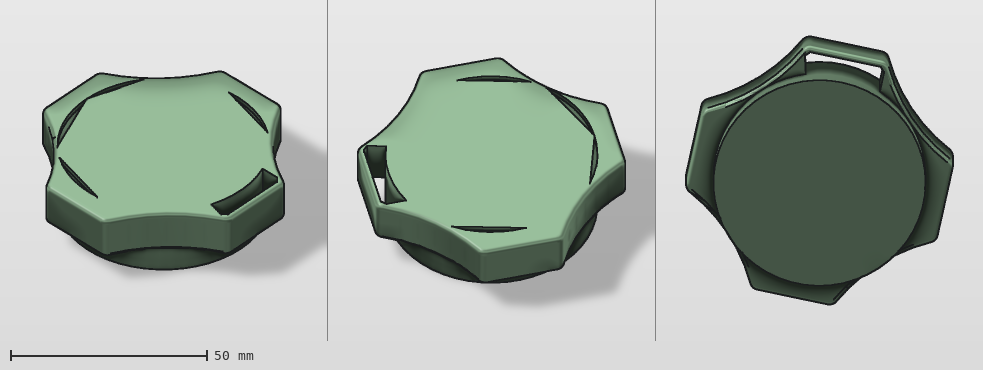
import cadquery as cq
import math

width = 65.6
total_height = 19.1
head_height = 11.8
boss_height = total_height - head_height
boss_radius = 27.0

hollow_radius = 45.9
hollow_depth_radius = 27.95

corner_radius = 2.4
top_edge_radius = 1.45
bottom_edge_radius = 1.0

wall_thickness = 1.5
opening_inner_x = 24.25
opening_lower_inner_y = -8.8
opening_corner_x = 30.0
opening_corner_y = 10.35
opening_wall_y = 9.2

crescent_spans = [(54.2, 95.4), (144.2, 180.0), (180.0, 225.0), (234.5, 275.0)]
crescent_depth = 1.3


def make_head():
    """Square block with a round hollow at each corner, leaving four rounded lobes."""
    head = cq.Workplane("XY").workplane(offset=boss_height).rect(width, width).extrude(head_height)
    hollow_spacing = math.sqrt(2) * (hollow_depth_radius + hollow_radius)
    hollows = (
        cq.Workplane("XY").workplane(offset=boss_height)
        .rect(hollow_spacing, hollow_spacing, forConstruction=True)
        .vertices()
        .circle(hollow_radius)
        .extrude(head_height)
    )
    head = head.cut(hollows).edges("|Z").fillet(corner_radius)
    head = head.faces(">Z").edges().fillet(top_edge_radius)
    return head.faces("<Z").edges().fillet(bottom_edge_radius)


def make_opening():
    """Space inside the wall of the +X lobe: slanted outer corners, with the boss as inner side."""
    wall_x = width / 2 - wall_thickness
    boundary = [
        (opening_inner_x, opening_corner_y),
        (opening_corner_x, opening_corner_y),
        (wall_x, opening_wall_y),
        (wall_x, -opening_wall_y),
        (opening_corner_x, -opening_corner_y),
        (opening_inner_x, opening_lower_inner_y),
    ]
    block = cq.Workplane("XY").workplane(offset=boss_height).polyline(boundary).close().extrude(head_height)
    boss_core = cq.Workplane("XY").circle(boss_radius).extrude(total_height)
    return block.cut(boss_core)


def rim_point(angle):
    """Point on the boss radius at an angle in degrees from +X."""
    radians = math.radians(angle)
    return (boss_radius * math.cos(radians), boss_radius * math.sin(radians))


def make_crescent(start_angle, end_angle):
    """Sliver between the boss radius and one of its chords."""
    return (
        cq.Workplane("XY").workplane(offset=total_height - crescent_depth)
        .moveTo(*rim_point(start_angle))
        .threePointArc(rim_point((start_angle + end_angle) / 2), rim_point(end_angle))
        .close()
        .extrude(crescent_depth)
    )


boss = cq.Workplane("XY").circle(boss_radius).extrude(boss_height)
result = make_head().union(boss).cut(make_opening())
for start_angle, end_angle in crescent_spans:
    result = result.cut(make_crescent(start_angle, end_angle))